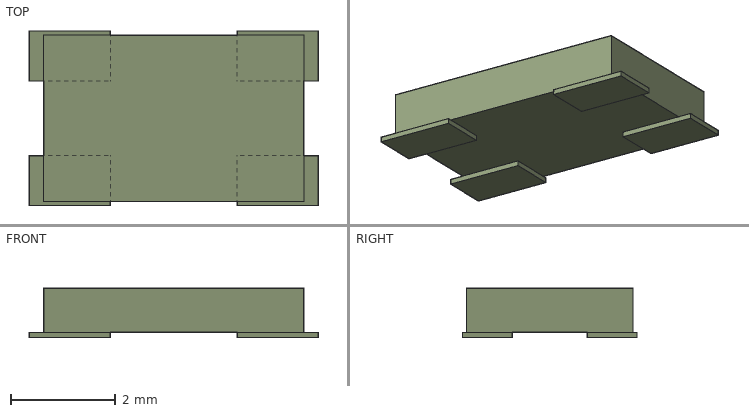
import cadquery as cq

footprint_length = 5.56
footprint_width = 3.36

housing_length = 5.005
housing_width = 3.2
housing_height = 0.85

pad_length = 1.56
pad_width = 0.96
pad_thickness = 0.1


def make_housing():
    """Plain block resting on top of the pads."""
    return (
        cq.Workplane("XY")
        .workplane(offset=pad_thickness)
        .rect(housing_length, housing_width)
        .extrude(housing_height)
    )


def make_pad(x_side, y_side):
    """Flat pad in the footprint corner given by the signs x_side and y_side."""
    center_x = x_side * (footprint_length - pad_length) / 2
    center_y = y_side * (footprint_width - pad_width) / 2
    return (
        cq.Workplane("XY")
        .center(center_x, center_y)
        .rect(pad_length, pad_width)
        .extrude(pad_thickness)
    )


housing = make_housing()
pads = [make_pad(x_side, y_side) for x_side in (-1, 1) for y_side in (-1, 1)]

result = cq.Compound.makeCompound([housing.val(), *[pad.val() for pad in pads]])